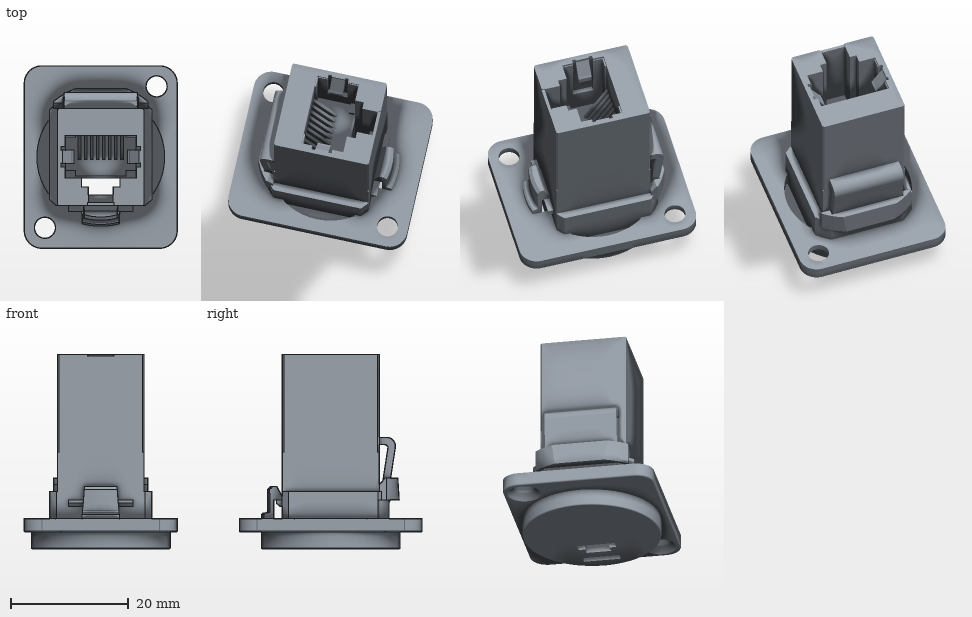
import cadquery as cq
import math

plate_x, plate_y, plate_thick = 26.0, 31.0, 2.25
plate_corner_r = 3.0
plate_edge_fillet = 0.25
screw_x, screw_y = 9.48, 12.0
screw_r = 1.77
countersink_start = 1.15

bezel_r = 11.8
bezel_bottom = -5.1
bezel_fillet = 0.2
pocket_r = 10.85
pocket_half_y = 6.15

body_half_x = 7.38
body_half_y = 8.25
body_top = 27.9
body_step_z = 11.3
body_corner_chamfer = 0.28

collar_half_x = 8.7
collar_top = 4.65
collar_front_y = -7.2
collar_front_half_x = 7.5
collar_back_y = 8.64
collar_back_half_x = 8.0
collar_back_corner_y = 8.0
boss_back_y = 9.9
boss_top = 3.2

catch_half_x = collar_back_half_x
catch_r = 12.38
catch_bottom, catch_top = boss_top, 6.9
catch_bottom_y, catch_top_y = 11.63, 11.4
catch_slot_half_x = 6.45
catch_slot_back_y = 10.2
strap_half_x = 6.2
strap_top = 13.82
strap_thick = 1.26
strap_corner_y = 11.24
strap_slope = 0.153
strap_end_z = 3.5
strap_outer_r, strap_inner_r = 1.5, 0.5

hook_foot_half_x, hook_top_half_x = 3.2, 2.75
hook_top = 5.5
hook_leg_y, hook_outer_r = -9.64, 11.75
bar_half_x = 5.5

socket_half_x = 5.97
socket_back_y, socket_front_y = 3.7, -3.57
socket_floor = 15.0
mouth_half_x = 6.1
mouth_depth = 0.4
keyway_half_x, keyway_front_y = 3.25, -5.07
latch_half_x, latch_front_y = 2.1, -7.74
window_front_y = -6.4
notch_half_x, notch_depth = 2.25, 0.25
rib_inner_x = 4.3
rib_thick = 0.25
pad_back_y = -2.3
pad_height = 1.0
relief_half_x = 6.73
relief_back_y, relief_front_y = 1.83, -1.68
relief_floor = 19.0
tab_back_y, tab_front_y = 1.2, -1.08
tab_top, tab_bottom = 27.4, 23.8
tab_knee_z = 25.2
tab_nose_z = 24.0
tab_root_x, tab_tip_x = 6.48, 4.57
tab_nose_bevel = 0.28
sill_back_y = -3.22

contact_count = 8
contact_pitch = 1.02
contact_width = 0.5
contact_front_y = -0.43
contact_top = 21.65


def box(x0, x1, y0, y1, z0, z1):
    """Block between two opposite corners."""
    return cq.Workplane("XY").box(x1 - x0, y1 - y0, z1 - z0, centered=False).translate((x0, y0, z0))


def side_profile(points, half_x):
    """Prism with a (Y, Z) outline, symmetric about X = 0."""
    return cq.Workplane("YZ").polyline(points).close().extrude(half_x, both=True)


def disc(radius, z0, z1):
    return cq.Workplane("XY").workplane(offset=z0).circle(radius).extrude(z1 - z0)


def make_plate():
    plate = cq.Workplane("XY").rect(plate_x, plate_y).extrude(-plate_thick)
    plate = plate.edges("|Z").fillet(plate_corner_r)
    plate = plate.faces("<Z").edges().fillet(plate_edge_fillet)
    sink_r = screw_r + plate_thick - countersink_start
    screw_outline = [
        (0, 0),
        (screw_r, 0),
        (screw_r, -countersink_start),
        (sink_r, -plate_thick),
        (0, -plate_thick),
    ]
    hole = cq.Workplane("XZ").polyline(screw_outline).close().revolve(360, (0, 0), (0, 1))
    for side in (1, -1):
        plate = plate.cut(hole.translate((side * screw_x, side * screw_y, 0)))
    return plate


def make_bezel():
    bezel = disc(bezel_r, bezel_bottom, -plate_thick)
    return bezel.faces("<Z").edges().fillet(bezel_fillet)


def make_side_pockets():
    """Round recess through the plate, closed off toward +Y and -Y."""
    band = box(-pocket_r, pocket_r, -pocket_half_y, pocket_half_y, -plate_thick, 0)
    return disc(pocket_r, -plate_thick, 0).intersect(band)


def make_body():
    lower = box(-body_half_x, body_half_x, -body_half_y, body_half_y, -plate_thick, body_step_z)
    upper = box(-body_half_x, body_half_x, -body_half_y, body_half_y, body_step_z, body_top)
    return lower.union(upper.edges("|Z").chamfer(body_corner_chamfer))


def make_collar():
    right_side = [
        (collar_front_half_x, -body_half_y),
        (collar_half_x, collar_front_y),
        (collar_half_x, collar_back_corner_y),
        (collar_back_half_x, collar_back_y),
    ]
    left_side = [(-x, y) for x, y in reversed(right_side)]
    outline = cq.Workplane("XY").workplane(offset=-plate_thick).polyline(right_side + left_side)
    collar = outline.close().extrude(plate_thick + collar_top)
    boss_limit = box(-collar_half_x, collar_half_x, 0, boss_back_y, 0, boss_top)
    return collar.union(disc(bezel_r, 0, boss_top).intersect(boss_limit))


def make_catch():
    """Arm with a rounded back, a lead-in slope and a slot for the strap."""
    slope_back_y, slope_low_z = 9.2, 5.8
    lip_back_y, lip_bottom = 10.1, 2.7
    catch = side_profile(
        [
            (body_half_y, slope_low_z),
            (slope_back_y, catch_top),
            (catch_top_y, catch_top),
            (catch_bottom_y, catch_bottom),
            (body_half_y, catch_bottom),
        ],
        catch_half_x,
    )
    catch = catch.intersect(disc(catch_r, catch_bottom, catch_top))
    slot = box(-catch_slot_half_x, catch_slot_half_x, body_half_y, catch_slot_back_y, catch_bottom, catch_top)
    lip = side_profile(
        [
            (boss_back_y, catch_bottom),
            (lip_back_y, catch_bottom),
            (boss_back_y, lip_bottom),
        ],
        strap_half_x,
    )
    return catch.cut(slot).union(lip)


def make_strap():
    """Flat spring that leaves the body level and bends down into the catch."""
    root_y = body_half_y - strap_thick
    under_z = strap_top - strap_thick
    drop = strap_top - strap_end_z
    leg_width = strap_thick * math.hypot(1, strap_slope)
    end_y = strap_corner_y - strap_slope * drop
    inner_corner_y = strap_corner_y - strap_slope * strap_thick - leg_width
    strap = side_profile(
        [
            (root_y, strap_top),
            (strap_corner_y, strap_top),
            (end_y, strap_end_z),
            (end_y - leg_width, strap_end_z),
            (inner_corner_y, under_z),
            (root_y, under_z),
        ],
        strap_half_x,
    )
    inner_bend = cq.selectors.NearestToPointSelector((0, inner_corner_y, under_z))
    strap = strap.edges("|X").edges(inner_bend).fillet(strap_inner_r)
    outer_bend = cq.selectors.NearestToPointSelector((0, strap_corner_y, strap_top))
    return strap.edges("|X").edges(outer_bend).fillet(strap_outer_r)


def make_hook():
    """Snap hook: flat inside, turned about the Z axis outside, narrowing toward its crest."""
    root_y, catch_z, bar_top = -body_half_y, 3.8, 3.14
    crest_inner_y, crest_outer_r = -9.17, 10.18
    stem_r, stem_top = 10.74, 5.0
    foot_r, foot_z, foot_edge_z = 11.46, 1.0, 0.75
    stem_fillet = 0.4
    turned_outline = (
        cq.Workplane("XZ")
        .lineTo(0, hook_top)
        .lineTo(crest_outer_r, hook_top)
        .lineTo(stem_r, stem_top)
        .lineTo(stem_r, foot_z + stem_fillet)
        .radiusArc((stem_r + stem_fillet, foot_z), -stem_fillet)
        .lineTo(foot_r, foot_z)
        .lineTo(hook_outer_r, foot_edge_z)
        .lineTo(hook_outer_r, 0)
        .close()
    )
    turned = turned_outline.revolve(360, (0, 0), (0, 1))
    inside = side_profile(
        [
            (hook_leg_y, 0),
            (hook_leg_y, bar_top),
            (root_y, bar_top),
            (root_y, catch_z),
            (crest_inner_y, hook_top),
            (-hook_outer_r, hook_top),
            (-hook_outer_r, 0),
        ],
        hook_foot_half_x,
    )
    taper_outline = [
        (-hook_foot_half_x, 0),
        (-hook_top_half_x, hook_top),
        (hook_top_half_x, hook_top),
        (hook_foot_half_x, 0),
    ]
    taper = cq.Workplane("XZ").polyline(taper_outline).close().extrude(hook_outer_r)
    return turned.intersect(inside).intersect(taper)


def make_crossbar():
    bar_front_y, bar_under_y, bar_nose_z = -9.25, -8.6, 2.65
    bar_top, bar_bottom = 3.14, 2.1
    return side_profile(
        [
            (-body_half_y, bar_top),
            (bar_front_y, bar_top),
            (bar_front_y, bar_nose_z),
            (bar_under_y, bar_bottom),
            (-body_half_y, bar_bottom),
        ],
        bar_half_x,
    )


def make_hook_slit():
    """Slit between the body and the hook's leg, open through the bezel."""
    return box(-hook_foot_half_x, hook_foot_half_x, hook_leg_y, -body_half_y, bezel_bottom, 0)


def make_socket_cavity():
    cavity = box(-socket_half_x, socket_half_x, socket_front_y, socket_back_y, socket_floor, body_top)
    mouth_z = body_top - mouth_depth
    cavity = cavity.union(box(-mouth_half_x, mouth_half_x, socket_front_y, socket_back_y, mouth_z, body_top))
    cavity = cavity.union(
        box(-keyway_half_x, keyway_half_x, keyway_front_y, socket_front_y, bezel_bottom, body_top)
    )
    cavity = cavity.union(
        box(-latch_half_x, latch_half_x, window_front_y, keyway_front_y, bezel_bottom, body_top)
    )
    cavity = cavity.union(
        box(-latch_half_x, latch_half_x, latch_front_y, window_front_y, socket_floor, body_top)
    )
    notch_z = body_top - notch_depth
    cavity = cavity.union(
        box(-notch_half_x, notch_half_x, -body_half_y, latch_front_y, notch_z, body_top)
    )
    return cavity.union(
        box(-relief_half_x, relief_half_x, relief_front_y, relief_back_y, relief_floor, body_top)
    )


def make_socket_inserts():
    """Corner ribs, floor pads and bent shield tabs on both sides, with a sill along the front."""
    rib_top = body_top - mouth_depth
    rib = box(rib_inner_x, socket_half_x, socket_back_y - rib_thick, socket_back_y, socket_floor, rib_top)
    pad_top = socket_floor + pad_height
    pad = box(rib_inner_x, socket_half_x, socket_front_y, pad_back_y, socket_floor, pad_top)
    tab_outline = [
        (relief_half_x, body_top),
        (tab_root_x, body_top),
        (tab_root_x, tab_top),
        (tab_tip_x + tab_nose_bevel, tab_knee_z),
        (tab_tip_x, tab_knee_z - tab_nose_bevel),
        (tab_tip_x, tab_nose_z),
        (relief_half_x, tab_bottom),
    ]
    tab = cq.Workplane("XZ", origin=(0, tab_back_y, 0)).polyline(tab_outline).close()
    right_side = rib.union(pad).union(tab.extrude(tab_back_y - tab_front_y))
    sill = box(-rib_inner_x, rib_inner_x, socket_front_y, sill_back_y, socket_floor, pad_top)
    return right_side.union(right_side.mirror("YZ")).union(sill)


def add_contacts(part):
    """Row of sloping contacts that rise toward the back wall of the socket."""
    fin_outline = [
        (contact_front_y, socket_floor),
        (socket_back_y, contact_top),
        (socket_back_y, socket_floor),
    ]
    fin = side_profile(fin_outline, contact_width / 2)
    for index in range(contact_count):
        x = (index - (contact_count - 1) / 2) * contact_pitch
        part = part.union(fin.translate((x, 0, 0)))
    return part


part = make_plate().union(make_bezel()).cut(make_side_pockets())
part = part.union(make_body()).union(make_collar())
part = part.cut(make_hook_slit())
part = part.union(make_catch()).union(make_strap())
part = part.union(make_hook()).union(make_crossbar())
part = part.cut(make_socket_cavity()).union(make_socket_inserts())
result = add_contacts(part)